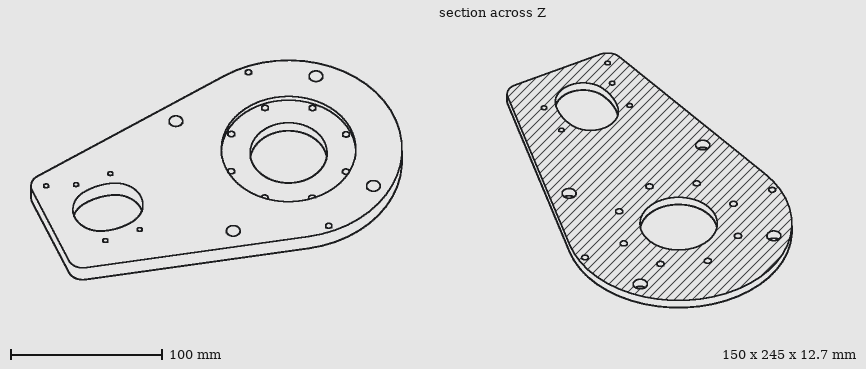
import cadquery as cq
import math

THICKNESS = 12.7
HEAD_RADIUS = 75.0
OVERALL_LENGTH = 245.0
CORNER_RADIUS = 10.0
CORNER_X = 32.0

FOOT_Y = HEAD_RADIUS - OVERALL_LENGTH
CORNER_Y = FOOT_Y + CORNER_RADIUS

BORE_DIAMETER = 50.8
RECESS_DIAMETER = 88.9
RECESS_DEPTH = 4.0
BOLT_CIRCLE_DIAMETER = 82.0
BOLT_COUNT = 8
BOLT_HOLE_DIAMETER = 4.5

MOUNT_Y = -10.0
MOUNT_SPACING = 100.0
MOUNT_HOLE_DIAMETER = 9.0

PIN_SPACING = 140.0
PIN_HOLE_DIAMETER = 4.2

OVAL_Y = -129.0
OVAL_WIDTH = 38.0
OVAL_LENGTH = 47.0
OVAL_END_RADIUS = 18.25
SCREW_SPACING_X = 51.0
SCREW_SPACING_Y = 24.5
SCREW_HOLE_DIAMETER = 3.3


def make_plate():
    """Head arc joined to the two corner arcs by their common outer tangents."""
    center_distance = math.hypot(CORNER_X, CORNER_Y)
    direction_to_corner = math.atan2(CORNER_Y, CORNER_X)
    tangent_offset = math.acos((HEAD_RADIUS - CORNER_RADIUS) / center_distance)
    normal_angle = direction_to_corner + tangent_offset
    normal_x = math.cos(normal_angle)
    normal_y = math.sin(normal_angle)

    head_x = HEAD_RADIUS * normal_x
    head_y = HEAD_RADIUS * normal_y
    taper_x = CORNER_X + CORNER_RADIUS * normal_x
    taper_y = CORNER_Y + CORNER_RADIUS * normal_y

    middle_angle = (normal_angle - math.pi / 2) / 2
    middle_x = CORNER_X + CORNER_RADIUS * math.cos(middle_angle)
    middle_y = CORNER_Y + CORNER_RADIUS * math.sin(middle_angle)

    return (
        cq.Workplane("XY")
        .moveTo(head_x, head_y)
        .threePointArc((0, HEAD_RADIUS), (-head_x, head_y))
        .lineTo(-taper_x, taper_y)
        .threePointArc((-middle_x, middle_y), (-CORNER_X, FOOT_Y))
        .lineTo(CORNER_X, FOOT_Y)
        .threePointArc((middle_x, middle_y), (taper_x, taper_y))
        .close()
        .extrude(THICKNESS)
    )


def through_holes(points, diameter):
    """Cylinders through the full thickness at the given XY points."""
    return cq.Workplane("XY").pushPoints(points).circle(diameter / 2).extrude(THICKNESS)


def rectangle_points(spacing_x, spacing_y, center_y):
    """Corners of a rectangle centred on the Y axis."""
    return [
        (side_x * spacing_x / 2, center_y + side_y * spacing_y / 2)
        for side_x in (-1, 1)
        for side_y in (-1, 1)
    ]


def cut_bearing_seat(plate):
    """Bore, shallow recess in the top face and the bolt circle in its floor."""
    recess = (
        cq.Workplane("XY")
        .workplane(offset=THICKNESS - RECESS_DEPTH)
        .circle(RECESS_DIAMETER / 2)
        .extrude(RECESS_DEPTH)
    )
    bolt_points = []
    for index in range(BOLT_COUNT):
        angle = index * 2 * math.pi / BOLT_COUNT
        bolt_x = BOLT_CIRCLE_DIAMETER / 2 * math.cos(angle)
        bolt_y = BOLT_CIRCLE_DIAMETER / 2 * math.sin(angle)
        bolt_points.append((bolt_x, bolt_y))
    return (
        plate.cut(recess)
        .cut(through_holes([(0, 0)], BORE_DIAMETER))
        .cut(through_holes(bolt_points, BOLT_HOLE_DIAMETER))
    )


def cut_head_holes(plate):
    """Four mounting holes and two pin holes around the bearing seat."""
    mount_points = rectangle_points(MOUNT_SPACING, MOUNT_SPACING, MOUNT_Y)
    pin_points = [(-PIN_SPACING / 2, 0), (PIN_SPACING / 2, 0)]
    return (
        plate.cut(through_holes(mount_points, MOUNT_HOLE_DIAMETER))
        .cut(through_holes(pin_points, PIN_HOLE_DIAMETER))
    )


def make_oval():
    """Oval of two end arcs and two flatter side arcs, all meeting tangentially."""
    end_center = OVAL_LENGTH / 2 - OVAL_END_RADIUS
    width_excess = OVAL_WIDTH / 2 - OVAL_END_RADIUS
    side_radius = OVAL_END_RADIUS + (width_excess**2 + end_center**2) / (2 * width_excess)
    side_center = side_radius - OVAL_WIDTH / 2

    joint_angle = math.atan2(end_center, side_center)
    joint_x = OVAL_END_RADIUS * math.cos(joint_angle)
    joint_y = end_center + OVAL_END_RADIUS * math.sin(joint_angle)

    return (
        cq.Workplane("XY")
        .center(0, OVAL_Y)
        .moveTo(joint_x, joint_y)
        .threePointArc((0, OVAL_LENGTH / 2), (-joint_x, joint_y))
        .threePointArc((-OVAL_WIDTH / 2, 0), (-joint_x, -joint_y))
        .threePointArc((0, -OVAL_LENGTH / 2), (joint_x, -joint_y))
        .threePointArc((OVAL_WIDTH / 2, 0), (joint_x, joint_y))
        .close()
        .extrude(THICKNESS)
    )


def cut_foot_openings(plate):
    """Oval, its four screw holes and one hole concentric with the -X corner."""
    oval = make_oval()
    screw_points = rectangle_points(SCREW_SPACING_X, SCREW_SPACING_Y, OVAL_Y)
    screw_points.append((-CORNER_X, CORNER_Y))
    return plate.cut(oval).cut(through_holes(screw_points, SCREW_HOLE_DIAMETER))


result = make_plate()
result = cut_bearing_seat(result)
result = cut_head_holes(result)
result = cut_foot_openings(result)